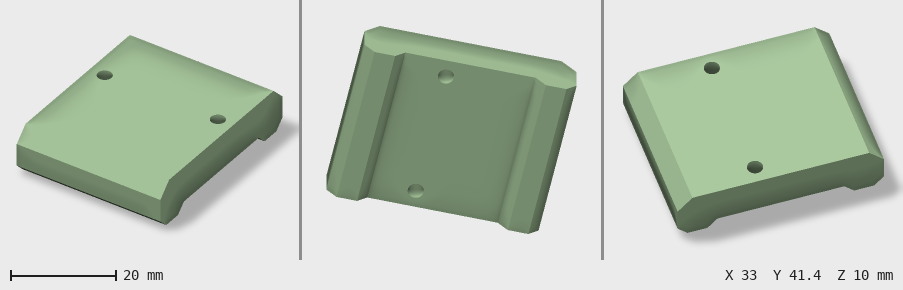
import cadquery as cq

width = 33.0
length = 41.4
height = 10.0

top_bevel = 3.0
bottom_bevel = 2.0
foot_width = 4.0
channel_depth = 2.0

hole_diameter = 3.1
hole_spacing = 26.0
hole_offset_y = 4.0

half_length = length / 2
foot_outer = half_length - bottom_bevel
foot_inner = foot_outer - foot_width
channel_roof = foot_inner - channel_depth


def make_body():
    """Extrude the bevelled, channelled YZ profile along X, with its base at Z = 0."""
    half_profile = [
        (channel_roof, channel_depth),
        (foot_inner, 0),
        (foot_outer, 0),
        (half_length, bottom_bevel),
        (half_length, height - top_bevel),
        (half_length - top_bevel, height),
    ]
    mirrored_half = [(-y, z) for y, z in reversed(half_profile)]
    profile = cq.Workplane("YZ").polyline(half_profile + mirrored_half).close()
    return profile.extrude(width / 2, both=True)


def make_holes():
    """Two vertical cylinders through the full height."""
    centers = [(side * hole_spacing / 2, hole_offset_y) for side in (-1, 1)]
    return cq.Workplane("XY").pushPoints(centers).circle(hole_diameter / 2).extrude(height)


result = make_body().cut(make_holes())